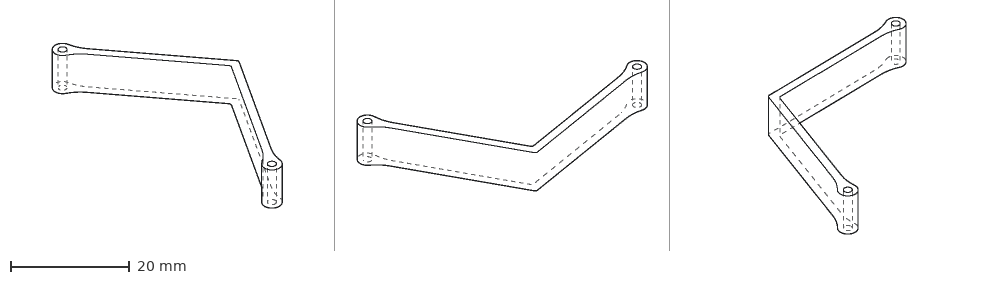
import cadquery as cq
import math

HEIGHT = 8.0
PIN_SPACING = 48.0
ARM_ANGLE = 35.0
ARM_THICKNESS = 1.6
BOSS_RADIUS = 1.75
HOLE_DIAMETER = 1.5
APEX_FILLET = 0.5
NECK_RADIUS = 8.0

half_span = PIN_SPACING / 2
half_thickness = ARM_THICKNESS / 2
slope = math.radians(ARM_ANGLE)
apex_y = half_span * math.tan(slope)
arm_length = half_span / math.cos(slope)
apex_half_height = half_thickness / math.cos(slope)
miter_shift = half_thickness * math.tan(slope)

neck_center_v = half_thickness + NECK_RADIUS
neck_center_distance = BOSS_RADIUS + NECK_RADIUS
neck_length = math.sqrt(neck_center_distance**2 - neck_center_v**2)
boss_touch_u = neck_length * BOSS_RADIUS / neck_center_distance
boss_touch_v = neck_center_v * BOSS_RADIUS / neck_center_distance

neck_half_sweep = math.asin(neck_length / neck_center_distance) / 2
neck_mid_u = neck_length - NECK_RADIUS * math.sin(neck_half_sweep)
neck_mid_v = neck_center_v - NECK_RADIUS * math.cos(neck_half_sweep)


def make_arm():
    """Left arm with its necked boss, mitred on the plane of symmetry X = 0."""
    profile = (
        cq.Workplane("XY")
        .moveTo(arm_length + miter_shift, half_thickness)
        .lineTo(neck_length, half_thickness)
        .threePointArc((neck_mid_u, neck_mid_v), (boss_touch_u, boss_touch_v))
        .threePointArc((-BOSS_RADIUS, 0), (boss_touch_u, -boss_touch_v))
        .threePointArc((neck_mid_u, -neck_mid_v), (neck_length, -half_thickness))
        .lineTo(arm_length - miter_shift, -half_thickness)
        .close()
    )
    arm = profile.extrude(HEIGHT)
    return arm.rotate((0, 0, 0), (0, 0, 1), ARM_ANGLE).translate((-half_span, 0, 0))


def round_bend(body):
    """Round the outer and inner vertical edges where the two arms meet."""
    for side in (1, -1):
        edge_point = (0, apex_y + side * apex_half_height, HEIGHT / 2)
        edge = cq.selectors.NearestToPointSelector(edge_point)
        body = body.edges("|Z").edges(edge).fillet(APEX_FILLET)
    return body


def drill_pin_holes(body):
    """Through hole in the centre of each boss."""
    drills = (
        cq.Workplane("XY")
        .pushPoints([(-half_span, 0), (half_span, 0)])
        .circle(HOLE_DIAMETER / 2)
        .extrude(HEIGHT)
    )
    return body.cut(drills)


left_arm = make_arm()
right_arm = left_arm.mirror("YZ")
bracket = round_bend(left_arm.union(right_arm))
result = drill_pin_holes(bracket)